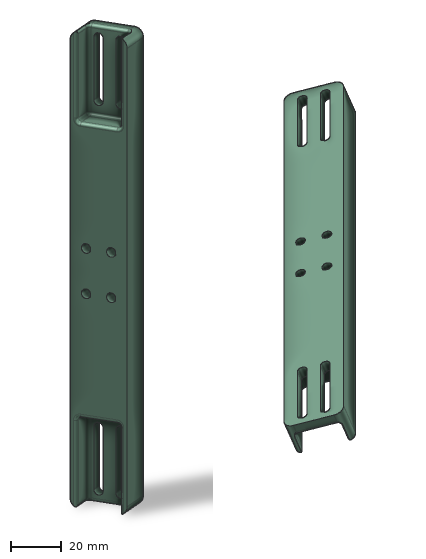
import cadquery as cq

length = 200.0
width = 25.0
depth = 15.0
corner_radius = 4.0

side_wall = 3.0
floor_thickness = 5.0
pocket_length = 38.2
edge_radius = 1.5

slot_width = 4.0
slot_length = 30.5
slot_spacing = 9.5
slot_end_gap = 3.2

hole_diameter = 4.0
hole_spacing_x = 11.0
hole_spacing_z = 19.0

pocket_width = width - 2 * side_wall
pocket_depth = depth - floor_thickness
front_y = -depth / 2
top_z = length / 2
pocket_end_z = top_z - pocket_length
slot_center_z = top_z - slot_end_gap - slot_length / 2


def pocket_cutter():
    """Upper pocket, rounded where its walls meet each other and the floor."""
    block = cq.Workplane("XY").box(pocket_width, pocket_depth, pocket_length)
    block = block.edges("(|Y and <Z) or (>Y and (not >Z))").fillet(edge_radius)
    return block.translate((0, front_y + pocket_depth / 2, top_z - pocket_length / 2))


def top_half():
    """Upper half of the bar, its pocket rounded over at the front and the open end."""
    half = cq.Workplane("XY").box(width, depth, top_z, centered=(True, True, False))
    half = half.cut(pocket_cutter())
    mouth = cq.selectors.BoxSelector(
        (-width / 2 + side_wall / 2, -depth, pocket_end_z - side_wall),
        (width / 2 - side_wall / 2, depth / 2 - floor_thickness / 2, length),
        boundingbox=True,
    )
    front_and_end = cq.selectors.StringSyntaxSelector("<Y or >Z")
    mouth_edges = half.faces(front_and_end).edges(mouth)
    return mouth_edges.fillet(edge_radius)


def outer_envelope():
    """Bar outline with its four corners rounded."""
    return cq.Workplane("XY").box(width, depth, length).edges("|Y").fillet(corner_radius)


def slots():
    """Slots through the floors of both pockets."""
    centers = [
        (side * slot_spacing / 2, end * slot_center_z)
        for side in (-1, 1)
        for end in (-1, 1)
    ]
    sketch = cq.Workplane("XZ").pushPoints(centers).slot2D(slot_length, slot_width, 90)
    return sketch.extrude(depth, both=True)


def mounting_holes():
    """Four through holes around the center of the bar."""
    pattern = cq.Workplane("XZ").rect(hole_spacing_x, hole_spacing_z, forConstruction=True)
    return pattern.vertices().circle(hole_diameter / 2).extrude(depth, both=True)


upper = top_half()
lower = upper.mirror("XY")
bar = upper.union(lower).intersect(outer_envelope())
result = bar.cut(slots()).cut(mounting_holes())